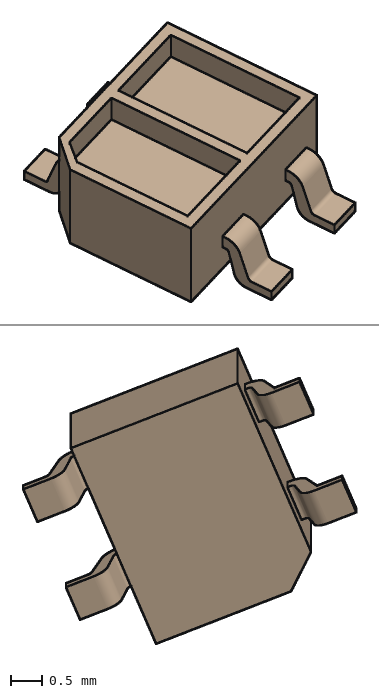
import cadquery as cq

overall_length = 4.8
overall_height = 1.87

body_length = 2.9
body_width = 3.6
body_bottom = 0.175
body_height = overall_height - body_bottom
corner_cut_x = 0.55
corner_cut_y = 0.5

wall = 0.2
pocket_depth = 0.5
pocket_length = body_length - 2 * wall
pocket_width = (body_width - 3 * wall) / 2
pocket_offset = (pocket_width + wall) / 2

lead_width = 0.6
lead_centers_y = (1.2, -0.6)
foot_thickness = 0.195
shoulder_top = 0.92
shoulder_bottom = 0.67
lead_run = (overall_length - body_length) / 2
upper_foot_run = 0.435
upper_shoulder_run = 0.68
lower_foot_run = 0.68
lower_shoulder_run = 0.84
outer_shoulder_radius = 0.3
outer_foot_radius = 0.25
inner_shoulder_radius = 0.07
inner_foot_radius = 0.08


def block_with_cut_corner(length, width, height, cut_x, cut_y):
    """Rectangular block, centred on X and Y, with its -X -Y corner cut off."""
    half_length = length / 2
    half_width = width / 2
    outline = [
        (-half_length + cut_x, -half_width),
        (half_length, -half_width),
        (half_length, half_width),
        (-half_length, half_width),
        (-half_length, -half_width + cut_y),
    ]
    return cq.Workplane("XY").polyline(outline).close().extrude(height)


def make_body():
    body = block_with_cut_corner(body_length, body_width, body_height, corner_cut_x, corner_cut_y)
    rear_pocket = cq.Workplane("XY").box(
        pocket_length, pocket_width, pocket_depth, centered=(True, True, False)
    )
    front_pocket = block_with_cut_corner(
        pocket_length, pocket_width, pocket_depth, corner_cut_x - wall, corner_cut_y - wall
    )
    pocket_floor = body_height - pocket_depth
    body = body.cut(rear_pocket.translate((0, pocket_offset, pocket_floor)))
    body = body.cut(front_pocket.translate((0, -pocket_offset, pocket_floor)))
    return body.translate((0, 0, body_bottom))


def round_bend(lead, run, height, radius):
    """Round the bend line that crosses the lead at the given run and height."""
    bend_line = cq.selectors.NearestToPointSelector((run, 0, height))
    return lead.edges("|Y").edges(bend_line).fillet(radius)


def make_lead(round_inner_foot):
    """Lead with its foot tip at X = 0, running toward +X and centred on Y = 0."""
    profile = [
        (0, 0),
        (lower_foot_run, 0),
        (lower_shoulder_run, shoulder_bottom),
        (lead_run, shoulder_bottom),
        (lead_run, shoulder_top),
        (upper_shoulder_run, shoulder_top),
        (upper_foot_run, foot_thickness),
        (0, foot_thickness),
    ]
    lead = cq.Workplane("XZ").polyline(profile).close().extrude(lead_width / 2, both=True)
    lead = round_bend(lead, lower_foot_run, 0, outer_foot_radius)
    lead = round_bend(lead, upper_shoulder_run, shoulder_top, outer_shoulder_radius)
    lead = round_bend(lead, lower_shoulder_run, shoulder_bottom, inner_shoulder_radius)
    if round_inner_foot:
        lead = round_bend(lead, upper_foot_run, foot_thickness, inner_foot_radius)
    return lead


left_lead = make_lead(round_inner_foot=False).translate((-overall_length / 2, 0, 0))
right_lead = make_lead(round_inner_foot=True).mirror("YZ").translate((overall_length / 2, 0, 0))

result = make_body()
for center_y in lead_centers_y:
    result = result.union(left_lead.translate((0, center_y, 0)))
    result = result.union(right_lead.translate((0, center_y, 0)))